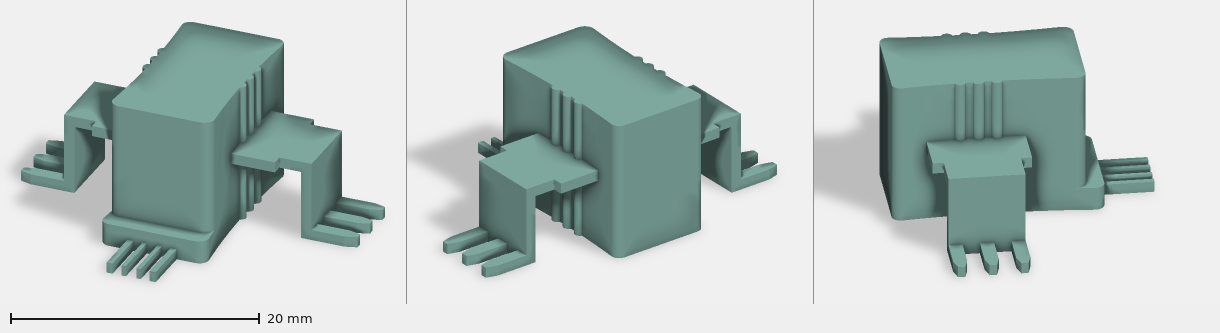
import cadquery as cq
import math

housing_height = 12.0
waist_half_width = 4.12
side_radius = 79.43
back_y = 7.62
housing_length = 15.75
housing_front_y = back_y - housing_length
front_corner_radius = 0.88
back_corner_radius = 0.75

base_height = 1.97
base_step = 1.5
base_front_y = housing_front_y - base_step
base_corner_radius = 0.82

rib_radius = 0.47
rib_reach = 4.5
rib_pitch = 1.5
middle_rib_y = 0.62

sheet_thickness = 0.9
terminal_y = 0.82
terminal_top = 6.9
terminal_tip_x = 14.7
leg_outer_x = 10.83
shoulder_x = 8.0
shoulder_width = 8.05
prong_count = 3
prong_width = 1.15
prong_pitch = 2.55
prong_taper_length = 1.0
prong_tip_width = 0.6
leg_width = (prong_count - 1) * prong_pitch + prong_width

signal_pin_length = 4.3
signal_pin_height = 0.9
outer_pin = (1.88, 0.53)
inner_pin = (0.65, 0.38)


def side_half_width(y):
    """Half width of the housing at y, on the concave side arc."""
    return waist_half_width + side_radius - math.sqrt(side_radius**2 - y**2)


def waisted_block(front_y, height, front_radius):
    """Block with concave sides and rounded corners, from the back face to front_y."""
    back_half = side_half_width(back_y)
    front_half = side_half_width(front_y)
    block = (
        cq.Workplane("XY")
        .moveTo(back_half, back_y)
        .threePointArc((waist_half_width, 0), (front_half, front_y))
        .lineTo(-front_half, front_y)
        .threePointArc((-waist_half_width, 0), (-back_half, back_y))
        .close()
        .extrude(height)
    )
    return (
        block.edges("|Z and >Y").fillet(back_corner_radius)
        .edges("|Z and <Y").fillet(front_radius)
    )


def box(x_range, y_centre, y_width, z_range):
    """Box spanning x_range and z_range, centred on y_centre."""
    length = x_range[1] - x_range[0]
    height = z_range[1] - z_range[0]
    return (
        cq.Workplane("XY", origin=(x_range[0], y_centre, z_range[0]))
        .box(length, y_width, height, centered=(False, True, False))
    )


def prong(y):
    """Flat foot prong with a tapered tip, pointing towards +X."""
    taper_start = terminal_tip_x - prong_taper_length
    half = prong_width / 2
    tip_half = prong_tip_width / 2
    return (
        cq.Workplane("XY", origin=(0, y, 0))
        .polyline([
            (leg_outer_x - sheet_thickness, -half),
            (taper_start, -half),
            (terminal_tip_x, -tip_half),
            (terminal_tip_x, tip_half),
            (taper_start, half),
            (leg_outer_x - sheet_thickness, half),
        ])
        .close()
        .extrude(sheet_thickness)
    )


def power_terminal():
    """Terminal on the +X side: shoulder and arm, leg down to Z = 0, row of prongs."""
    sheet_z = (terminal_top - sheet_thickness, terminal_top)
    terminal = box((0, shoulder_x), terminal_y, shoulder_width, sheet_z)
    terminal = terminal.union(box((0, leg_outer_x), terminal_y, leg_width, sheet_z))
    leg_x = (leg_outer_x - sheet_thickness, leg_outer_x)
    terminal = terminal.union(box(leg_x, terminal_y, leg_width, (0, terminal_top)))
    for index in range(prong_count):
        offset = (index - (prong_count - 1) / 2) * prong_pitch
        terminal = terminal.union(prong(terminal_y + offset))
    return terminal


def grip_ribs():
    """Three round full-height ribs on each long side."""
    rib_x = rib_reach - rib_radius
    centres = [
        (side * rib_x, middle_rib_y + step * rib_pitch)
        for side in (-1, 1)
        for step in (-1, 0, 1)
    ]
    return cq.Workplane("XY").pushPoints(centres).circle(rib_radius).extrude(housing_height)


def signal_pin(x, width):
    """Straight pin lying at Z = 0, from Y = 0 inside the base out past its front face."""
    end_y = base_front_y - signal_pin_length
    return box((x - width / 2, x + width / 2), end_y / 2, -end_y, (0, signal_pin_height))


result = waisted_block(housing_front_y, housing_height, front_corner_radius)
result = result.union(waisted_block(base_front_y, base_height, base_corner_radius))
result = result.union(grip_ribs())

terminal = power_terminal()
result = result.union(terminal).union(terminal.mirror("YZ"))

for pin_x, pin_width in (outer_pin, inner_pin):
    for side in (-1, 1):
        result = result.union(signal_pin(side * pin_x, pin_width))